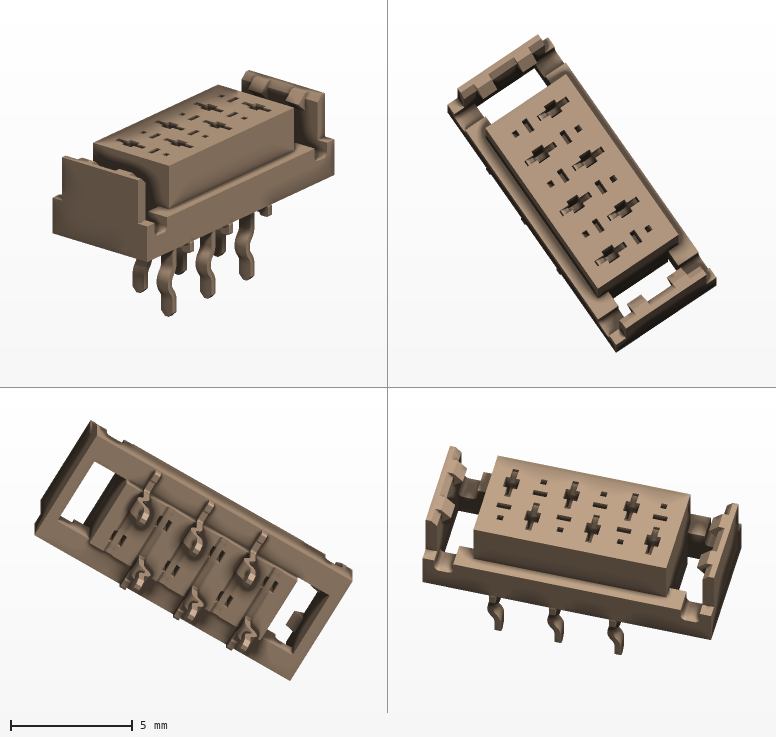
import cadquery as cq
import math

length = 12.22
width = 5.0
top_z = 3.5
tip_z = -3.6

base_height = 1.58
block_width = 4.01
block_length = 8.16
plate_width = 2.98
plate_depth = 0.51
wall_thickness = 0.49

groove_width = 0.81
groove_floor_z = 0.97
groove_radius = 0.22

wall_chamfer = 0.26
hook_width = 0.71
hook_spacing = 1.98
hook_reach = 0.42
hook_drop = 0.4

row_count = 6
row_pitch = 1.27
contact_thickness = 0.26
contact_x = 0.75
relief_depth = 0.12

slot_length = 1.47
well_width = 0.53
well_length = 0.6
slit_x = 0.5
slit_width = 0.25
slit_depth = 0.98
wedge_x = 1.12
wedge_width = 0.25
wedge_slope = 75.0

blade_tip_depth = 0.06
blade_tip_half = 0.66
blade_edge_slope = 84.0
throat_half = 0.33
lead_in_slope = 47.0
cradle_half = 0.27
cradle_slope = 70.0
cradle_floor_half = 0.07

pin_x = 1.27
pin_width = 0.6
bend_start_z = -1.25
bend_apex_z = -2.05
bend_offset = 0.3
tip_chamfer = 0.21

foot_width = 0.45
tab_fillet = 0.1


def box(size_x, size_y, bottom_z, top, x=0.0, y=0.0):
    """Upright block centred on (x, y) between two heights."""
    return (
        cq.Workplane("XY", origin=(x, y, bottom_z))
        .rect(size_x, size_y)
        .extrude(top - bottom_z)
    )


def end_wall_with_latches():
    """Wall at the +Y end, with a bevelled top edge and two hooks."""
    inner_y = length / 2 - wall_thickness
    wall_y = length / 2 - wall_thickness / 2
    wall = box(width, wall_thickness, 0, base_height, y=wall_y)
    tongue = box(block_width, wall_thickness, 0, top_z, y=wall_y)
    tongue = tongue.faces("<Y").edges(">Z").chamfer(wall_chamfer)
    wall = wall.union(tongue)
    hook_profile = [
        (inner_y + wall_chamfer, top_z),
        (inner_y, top_z),
        (inner_y - hook_reach, top_z - hook_drop),
        (inner_y, top_z - 2 * hook_drop),
        (inner_y + wall_chamfer, top_z - 2 * hook_drop),
    ]
    for side in (-1, 1):
        hook = (
            cq.Workplane("YZ", origin=(side * hook_spacing / 2, 0, 0))
            .polyline(hook_profile)
            .close()
            .extrude(hook_width / 2, both=True)
        )
        wall = wall.union(hook)
    return wall


def housing():
    """Base with two side rails, raised block, bottom plate and end walls."""
    body = box(width, length, 0, base_height)
    opening_length = (length - block_length) / 2 - wall_thickness
    opening_y = block_length / 2 + opening_length / 2
    groove_y = length / 2 - wall_thickness - groove_width / 2
    for end in (-1, 1):
        body = body.cut(box(plate_width, opening_length, 0, base_height, y=end * opening_y))
        groove = box(width, groove_width, groove_floor_z, base_height, y=end * groove_y)
        body = body.cut(groove.edges("|X and <Z").fillet(groove_radius))
    body = body.union(box(block_width, block_length, 0, top_z))
    body = body.union(box(plate_width, block_length, -plate_depth, 0))
    wall = end_wall_with_latches()
    return body.union(wall).union(wall.mirror("XZ"))


def drop(run, slope):
    """Height lost over a horizontal run on a slope given in degrees."""
    return run * math.tan(math.radians(slope))


def row_openings(y):
    """Openings of one row whose slot lies on the +X side."""
    wedge_depth = drop(wedge_width, wedge_slope)
    slot = box(slot_length, contact_thickness, 0, top_z, contact_x, y)
    well = box(well_width, well_length, -plate_depth, top_z, contact_x, y)
    slit = box(slit_width, well_length, top_z - slit_depth, top_z, -slit_x, y)
    wedge = (
        cq.Workplane("XZ", origin=(-wedge_x, y, top_z))
        .polyline([
            (-wedge_width / 2, 0),
            (wedge_width / 2, 0),
            (wedge_width / 2, -wedge_depth),
        ])
        .close()
        .extrude(contact_thickness / 2, both=True)
    )
    relief_half = contact_thickness / 2
    relief = (
        cq.Workplane("YZ", origin=(0, y, -plate_depth))
        .polyline([
            (-relief_half - relief_depth, 0),
            (-relief_half, relief_depth),
            (relief_half, relief_depth),
            (relief_half + relief_depth, 0),
        ])
        .close()
        .extrude(plate_width / 2, both=True)
    )
    return slot.union(well).union(slit).union(wedge).union(relief)


def blade(y):
    """Fork standing in the slot: two lead-in slopes above a rounded cradle."""
    half = slot_length / 2
    bottom = -(top_z + plate_depth - relief_depth)
    tip = -blade_tip_depth
    edge = tip - drop(half - blade_tip_half, blade_edge_slope)
    throat = tip - drop(blade_tip_half - throat_half, lead_in_slope)
    cradle = throat - drop(throat_half - cradle_half, cradle_slope)
    arc_angle = math.radians(cradle_slope)
    arc_radius = (cradle_half - cradle_floor_half) / math.sin(arc_angle)
    floor = cradle - arc_radius * (1 - math.cos(arc_angle))
    return (
        cq.Workplane("XZ", origin=(contact_x, y, top_z))
        .moveTo(-half, bottom)
        .lineTo(-half, edge)
        .lineTo(-blade_tip_half, tip)
        .lineTo(-throat_half, throat)
        .lineTo(-cradle_half, cradle)
        .radiusArc((-cradle_floor_half, floor), -arc_radius)
        .lineTo(cradle_floor_half, floor)
        .radiusArc((cradle_half, cradle), -arc_radius)
        .lineTo(throat_half, throat)
        .lineTo(blade_tip_half, tip)
        .lineTo(half, edge)
        .lineTo(half, bottom)
        .close()
        .extrude(contact_thickness / 2, both=True)
    )


def solder_pin(y):
    """Flat pin at -X with a kink towards +Y made of tangent arcs."""
    half_kink = bend_start_z - bend_apex_z
    bend_angle = 2 * math.atan(bend_offset / half_kink)
    bend_radius = half_kink / (2 * math.sin(bend_angle))
    arc_rise = bend_radius * math.sin(bend_angle / 2)
    arc_shift = bend_radius * (1 - math.cos(bend_angle / 2))
    bend_end_z = 2 * bend_apex_z - bend_start_z
    mid_shift = bend_offset / 2
    path = (
        cq.Workplane("YZ", origin=(-pin_x, y, 0))
        .moveTo(0, 0)
        .lineTo(0, bend_start_z)
        .threePointArc((arc_shift, bend_start_z - arc_rise), (mid_shift, bend_start_z - half_kink / 2))
        .threePointArc((bend_offset, bend_apex_z), (mid_shift, bend_end_z + half_kink / 2))
        .threePointArc((arc_shift, bend_end_z + arc_rise), (0, bend_end_z))
        .lineTo(0, tip_z)
    )
    pin = (
        cq.Workplane("XY", origin=(-pin_x, y, 0))
        .rect(pin_width, contact_thickness)
        .sweep(path)
    )
    return pin.faces("<Z").edges("|Y").chamfer(tip_chamfer)


def side_tab(y):
    """Tab from the pin to the -X face, with a rounded foot and filleted pin root."""
    outer_x = -width / 2
    foot = box(foot_width, contact_thickness, -plate_depth, 0, outer_x + foot_width / 2, y)
    foot = foot.edges("|Y and <X").fillet(tab_fillet)
    foot = foot.edges("|Y and >X and <Z").fillet(tab_fillet)
    bar_start = outer_x + foot_width / 2
    bar_end = -pin_x + pin_width / 2 + 2 * tab_fillet
    bar_length = bar_end - bar_start
    bar_z = relief_depth - plate_depth
    bar = box(bar_length, contact_thickness, bar_z, 0, (bar_start + bar_end) / 2, y)
    stem = box(pin_width, contact_thickness, bend_start_z, 0, -pin_x, y)
    corner_half = pin_width / 2 + tab_fillet / 2
    inner_corners = cq.selectors.BoxSelector(
        (-pin_x - corner_half, y - contact_thickness, bar_z - tab_fillet / 2),
        (-pin_x + corner_half, y + contact_thickness, bar_z + tab_fillet / 2),
    )
    bar = bar.union(stem).edges("|Y").edges(inner_corners).fillet(tab_fillet)
    return foot.union(bar)


def turned(shape):
    """Same shape turned half a turn about the Z axis."""
    return shape.rotate((0, 0, 0), (0, 0, 1), 180)


result = housing()
for row in range(0, row_count, 2):
    row_y = ((row_count - 1) / 2 - row) * row_pitch
    cutter = row_openings(row_y)
    contact = blade(row_y).union(solder_pin(row_y)).union(side_tab(row_y))
    for placed_cutter, placed_contact in ((cutter, contact), (turned(cutter), turned(contact))):
        result = result.cut(placed_cutter).union(placed_contact)